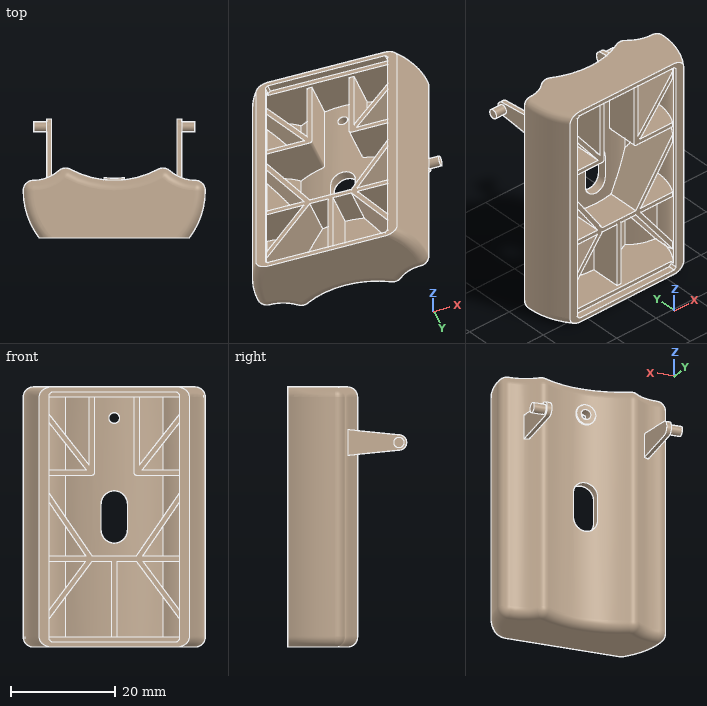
import cadquery as cq
import math

height = 50.0
wall = 2.0

core_half_width = 15.5
core_widest_y = 9.1
side_radius = 13.0
side_end_angle = -65.0
ridge_x = 9.35
ridge_y = 11.45
hollow_y = 9.1

recess_half_width = 12.5
recess_half_height = 24.0
recess_depth = 1.5
recess_corner_chamfer = 0.5

rib = 1.0
rib_front_y = 2.3
rib_depth = ridge_y + wall - rib_front_y
upper_post_x = 4.3
upper_shelf_z = 8.5
upper_brace_z = 18.9
lower_shelf_z = -8.0
lower_node_x = 4.5
lower_brace_top_z = 3.7
lower_brace_bottom_z = -18.7

slot_width = 5.0
slot_length = 10.0
hole_diameter = 2.0
hole_z = 19.0
boss_diameter = 4.0
boss_rise = 0.4

arm_inner_x = 12.0
arm_thickness = 1.0
arm_root_y = 10.35
arm_root_half_height = 2.6
arm_tip_radius = 1.5
pin_diameter = 2.0
pin_length = 2.5
pin_y = 21.35
pin_z = 14.3


def side_point(angle):
    """Point on the right-hand side arc, at an angle in degrees from the X direction."""
    x = core_half_width - side_radius + side_radius * math.cos(math.radians(angle))
    y = core_widest_y + side_radius * math.sin(math.radians(angle))
    return x, y


def core_profile():
    """Inner cross-section in XY, carried a little past the open face."""
    mid_x, mid_y = side_point(side_end_angle / 2)
    end_x, end_y = side_point(side_end_angle)

    run = core_half_width - ridge_x
    climb = ridge_y - core_widest_y
    shoulder_radius = (run**2 + climb**2) / (2 * climb)
    shoulder_x = core_half_width - run / 2
    shoulder_y = core_widest_y + shoulder_radius - math.sqrt(shoulder_radius**2 - (run / 2) ** 2)

    return (
        cq.Workplane("XY")
        .moveTo(end_x, end_y)
        .threePointArc((mid_x, mid_y), (core_half_width, core_widest_y))
        .threePointArc((shoulder_x, shoulder_y), (ridge_x, ridge_y))
        .threePointArc((0, hollow_y), (-ridge_x, ridge_y))
        .threePointArc((-shoulder_x, shoulder_y), (-core_half_width, core_widest_y))
        .threePointArc((-mid_x, mid_y), (-end_x, end_y))
        .close()
    )


def prism(profile, length):
    """Extrude a cross-section along Z, centred on Z = 0."""
    return profile.extrude(length / 2, both=True)


def bar(start, end):
    """Straight rib between two (x, z) points, from the rib plane back into the shell."""
    dx = end[0] - start[0]
    dz = end[1] - start[1]
    angle = math.degrees(math.atan2(dz, dx))
    return (
        cq.Workplane("XY")
        .box(math.hypot(dx, dz), rib_depth, rib, centered=(True, False, True))
        .rotate((0, 0, 0), (0, 1, 0), -angle)
        .translate(((start[0] + end[0]) / 2, rib_front_y, (start[1] + end[1]) / 2))
    )


def upper_corner(side):
    """Post, shelf and brace of one upper compartment; side is -1 or 1."""
    post_x = side * upper_post_x
    wall_x = side * core_half_width
    brace_slope = (upper_brace_z - upper_shelf_z) / (recess_half_width - upper_post_x)
    brace_end_z = upper_shelf_z + brace_slope * (core_half_width - upper_post_x)
    corner = (post_x, upper_shelf_z)
    post = bar(corner, (post_x, height / 2))
    shelf = bar(corner, (wall_x, upper_shelf_z))
    brace = bar(corner, (wall_x, brace_end_z))
    knuckle = (
        cq.Workplane("XZ", origin=(post_x, rib_front_y, upper_shelf_z))
        .circle(rib / 2)
        .extrude(-rib_depth)
    )
    return post.union(shelf).union(brace).union(knuckle)


def lower_brace(side, wall_z):
    """Brace from the lower shelf towards a side wall, reaching it at wall_z."""
    slope = (wall_z - lower_shelf_z) / (recess_half_width - lower_node_x)
    end_z = lower_shelf_z + slope * (core_half_width - lower_node_x)
    return bar((side * lower_node_x, lower_shelf_z), (side * core_half_width, end_z))


def rib_grid():
    """All ribs before they are trimmed to the cavity."""
    ribs = bar((-core_half_width, lower_shelf_z), (core_half_width, lower_shelf_z))
    ribs = ribs.union(bar((0, lower_shelf_z), (0, -height / 2)))
    for side in (-1, 1):
        ribs = ribs.union(upper_corner(side))
        for wall_z in (lower_brace_top_z, lower_brace_bottom_z):
            ribs = ribs.union(lower_brace(side, wall_z))
    return ribs


def arm(side):
    """Tapered arm with a round tip and an outward pin; side is -1 or 1."""
    inner_x = side * arm_inner_x
    outer_x = side * (arm_inner_x + arm_thickness)
    blade = (
        cq.Workplane("YZ", origin=(inner_x, 0, pin_z))
        .moveTo(arm_root_y, -arm_root_half_height)
        .lineTo(pin_y, -arm_tip_radius)
        .threePointArc((pin_y + arm_tip_radius, 0), (pin_y, arm_tip_radius))
        .lineTo(arm_root_y, arm_root_half_height)
        .close()
        .extrude(side * arm_thickness)
    )
    pin = (
        cq.Workplane("YZ", origin=(outer_x, pin_y, pin_z))
        .circle(pin_diameter / 2)
        .extrude(side * pin_length)
    )
    return blade.union(pin)


shell = prism(core_profile().offset2D(wall), height).faces("|Z").edges().fillet(wall)
front_trim = cq.Workplane("XY").box(height, height, 2 * height).translate((0, -height / 2, 0))
shell = shell.cut(front_trim)

cavity = prism(core_profile(), height - 2 * wall)
recess = (
    cq.Workplane("XY")
    .box(2 * recess_half_width, 2 * recess_depth, 2 * recess_half_height)
    .edges("|Y")
    .chamfer(recess_corner_chamfer)
)
body = shell.cut(cavity).union(rib_grid().intersect(shell)).cut(recess)

boss = (
    cq.Workplane("XZ", origin=(0, hollow_y + wall / 2, hole_z))
    .circle(boss_diameter / 2)
    .extrude(-wall)
    .intersect(prism(core_profile().offset2D(wall + boss_rise), height))
)
body = body.union(boss)

slot = cq.Workplane("XZ").slot2D(slot_length, slot_width, 90).extrude(-height)
hole = cq.Workplane("XZ", origin=(0, 0, hole_z)).circle(hole_diameter / 2).extrude(-height)
body = body.cut(slot).cut(hole)

result = body.union(arm(-1)).union(arm(1))